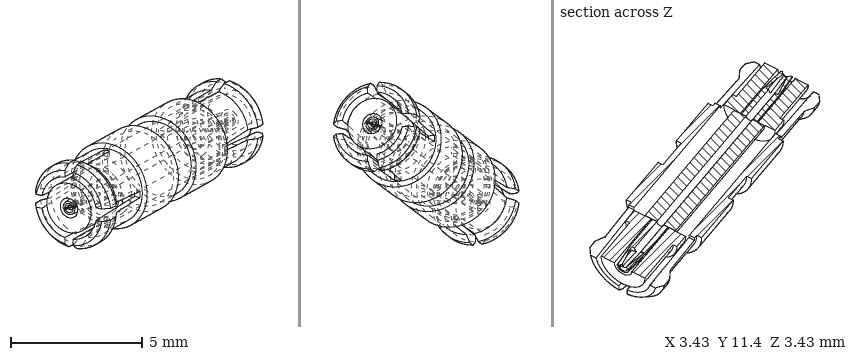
import cadquery as cq

LENGTH = 11.4
END_Y = LENGTH / 2
END_SIDES = (-1, 1)

RING_DIAMETER = 3.43
BARREL_DIAMETER = 3.0
SHELL_BORE = 2.5
RING_INNER_Y = 0.63
RING_OUTER_Y = 2.85
LIP_CHAMFER_LENGTH = 0.28
LIP_BAND_LENGTH = 0.38
LIP_FLARE_LENGTH = 0.38

SHELL_SLOT_LENGTH = 2.69
SHELL_SLOT_ROOT_WIDTH = 0.25
VERTICAL_SLOT_MOUTH_WIDTH = 0.38
SIDE_SLOT_MOUTH_WIDTH = 0.51

NOSE_DIAMETER = 2.0
FLANGE_DIAMETER = 2.34
INSULATOR_BORE = 0.79
NOSE_LENGTH = 1.97
FLANGE_LENGTH = 0.62
FLANGE_OUTER_Y = END_Y - NOSE_LENGTH
FLANGE_INNER_Y = FLANGE_OUTER_Y - FLANGE_LENGTH

CORE_DIAMETER = 1.4

CONTACT_DIAMETER = 0.72
CONTACT_BORE = 0.28
FINGER_LENGTH = 1.03
TIP_DIAMETER = 0.52
MOUTH_DIAMETER = 0.38
THROAT_DIAMETER = 0.19
MOUTH_DEPTH = 0.09
FINGER_SLOT_TIP_WIDTH = 0.06
FINGER_SLOT_ROOT_WIDTH = 0.2
FINGER_SLOT_TILT = 22.0


def revolve_about_y(outline):
    """Solid of revolution about Y from (radius, y) points."""
    return cq.Workplane("XY").polyline(outline).close().revolve(360, (0, 0, 0), (0, 1, 0))


def tapered_slot(mouth_width, root_width, length, reach):
    """Cutter for a slot into the +Y end: its width is along X, and it reaches +-reach along Z."""
    root_y = END_Y - length
    outline = [
        (-root_width / 2, root_y),
        (root_width / 2, root_y),
        (mouth_width / 2, END_Y),
        (-mouth_width / 2, END_Y),
    ]
    return cq.Workplane("XY").polyline(outline).close().extrude(reach, both=True)


def turn_about_y(body, angle):
    return body.rotate((0, 0, 0), (0, 1, 0), angle)


def at_end(body, side):
    """A body made for the +Y end, mirrored to the -Y end when side is -1."""
    return body if side > 0 else body.mirror("XZ")


def make_shell():
    band_outer_y = END_Y - LIP_CHAMFER_LENGTH
    band_inner_y = band_outer_y - LIP_BAND_LENGTH
    flare_inner_y = band_inner_y - LIP_FLARE_LENGTH
    upper_half = [
        (BARREL_DIAMETER / 2, RING_INNER_Y),
        (RING_DIAMETER / 2, RING_INNER_Y),
        (RING_DIAMETER / 2, RING_OUTER_Y),
        (BARREL_DIAMETER / 2, RING_OUTER_Y),
        (BARREL_DIAMETER / 2, flare_inner_y),
        (RING_DIAMETER / 2, band_inner_y),
        (RING_DIAMETER / 2, band_outer_y),
        (BARREL_DIAMETER / 2, END_Y),
        (SHELL_BORE / 2, END_Y),
    ]
    lower_half = [(radius, -y) for radius, y in reversed(upper_half)]
    shell = revolve_about_y(upper_half + lower_half)

    vertical_slot = tapered_slot(
        VERTICAL_SLOT_MOUTH_WIDTH, SHELL_SLOT_ROOT_WIDTH, SHELL_SLOT_LENGTH, RING_DIAMETER
    )
    side_slot = turn_about_y(
        tapered_slot(SIDE_SLOT_MOUTH_WIDTH, SHELL_SLOT_ROOT_WIDTH, SHELL_SLOT_LENGTH, RING_DIAMETER), 90
    )
    for side in END_SIDES:
        shell = shell.cut(at_end(vertical_slot, side))
        shell = shell.cut(at_end(side_slot, side))
    return shell


def make_insulator(side):
    insulator = revolve_about_y(
        [
            (INSULATOR_BORE / 2, FLANGE_INNER_Y),
            (FLANGE_DIAMETER / 2, FLANGE_INNER_Y),
            (FLANGE_DIAMETER / 2, FLANGE_OUTER_Y),
            (NOSE_DIAMETER / 2, FLANGE_OUTER_Y),
            (NOSE_DIAMETER / 2, END_Y),
            (INSULATOR_BORE / 2, END_Y),
        ]
    )
    return at_end(insulator, side)


def make_core():
    return revolve_about_y(
        [
            (CONTACT_BORE / 2, -FLANGE_INNER_Y),
            (CORE_DIAMETER / 2, -FLANGE_INNER_Y),
            (CORE_DIAMETER / 2, FLANGE_INNER_Y),
            (CONTACT_BORE / 2, FLANGE_INNER_Y),
        ]
    )


def make_contact(side):
    finger_root_y = END_Y - FINGER_LENGTH
    contact = revolve_about_y(
        [
            (CONTACT_BORE / 2, FLANGE_INNER_Y),
            (CONTACT_DIAMETER / 2, FLANGE_INNER_Y),
            (CONTACT_DIAMETER / 2, finger_root_y),
            (TIP_DIAMETER / 2, END_Y),
            (MOUTH_DIAMETER / 2, END_Y),
            (THROAT_DIAMETER / 2, END_Y - MOUTH_DEPTH),
            (CONTACT_BORE / 2, finger_root_y),
        ]
    )
    slot = tapered_slot(FINGER_SLOT_TIP_WIDTH, FINGER_SLOT_ROOT_WIDTH, FINGER_LENGTH, CONTACT_DIAMETER)
    contact = contact.cut(turn_about_y(slot, 90 - FINGER_SLOT_TILT))
    return at_end(contact, side)


shell = make_shell()
core = make_core()
insulators = [make_insulator(side).val() for side in END_SIDES]
contacts = [make_contact(side).val() for side in END_SIDES]

result = cq.Compound.makeCompound([shell.val(), core.val(), *insulators, *contacts])